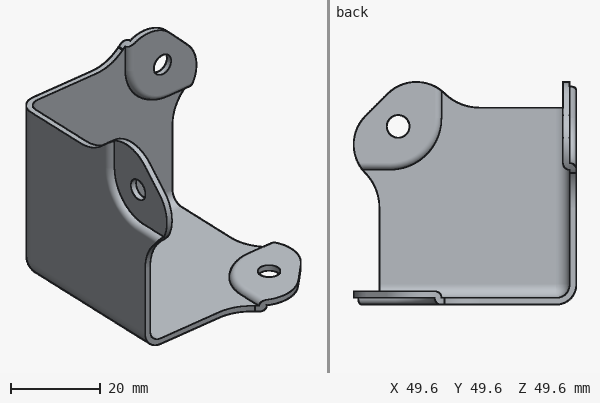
import cadquery as cq
import math


thickness = 1.5
wall_length = 43.85
bend_inner_radius = 3.0
bend_outer_radius = bend_inner_radius + thickness

overall_length = 49.57
tab_width = 25.0
tab_corner_radius = 9.0
tab_root_radius = 11.0

hole_diameter = 5.0
hole_position = 39.65

step_start = 30.0
step_end = step_start + thickness
step_corner_radius = 11.5
step_corner_center = step_start + step_corner_radius
tab_height = 2 * thickness

beyond = overall_length + 10.0
diagonal = math.sqrt(0.5)

corner_high = overall_length - tab_corner_radius
corner_low = corner_high - (tab_width / 2 - tab_corner_radius) / diagonal

root_high = wall_length + tab_root_radius
root_low = root_high - tab_width / 2 / diagonal - tab_root_radius / diagonal

wall_turns = (0, 120, 240)


def mirrored(point):
    """Mirror a point of the floor in the line x = y."""
    return (point[1], point[0])


def on_circle(center_x, center_y, radius, degrees):
    angle = math.radians(degrees)
    return (center_x + radius * math.cos(angle), center_y + radius * math.sin(angle))


def make_rounded_block(size, radius):
    """Cube from the origin with the three edges that meet at the origin rounded."""
    block = cq.Workplane("XY").box(size, size, size, centered=False)
    margin = size / 4
    near_edges = cq.selectors.BoxSelector((-margin,) * 3, (size - margin,) * 3)
    return block.edges(near_edges).fillet(radius)


def make_corner_shell():
    outer = make_rounded_block(wall_length, bend_outer_radius)
    inner = make_rounded_block(beyond, bend_inner_radius)
    return outer.cut(inner.translate((thickness, thickness, thickness)))


def make_tab_outline():
    """Prism over the floor's free corner, from the root fillets to the end of the tab."""
    root_start = (root_low, wall_length)
    root_middle = on_circle(root_low, root_high, tab_root_radius, -67.5)
    root_end = on_circle(root_low, root_high, tab_root_radius, -45)
    corner_start = on_circle(corner_low, corner_high, tab_corner_radius, 135)
    corner_middle = on_circle(corner_low, corner_high, tab_corner_radius, 90)
    corner_end = on_circle(corner_low, corner_high, tab_corner_radius, 45)
    return (
        cq.Workplane("XY")
        .moveTo(root_low, root_low)
        .lineTo(*root_start)
        .threePointArc(root_middle, root_end)
        .lineTo(*corner_start)
        .threePointArc(corner_middle, corner_end)
        .lineTo(*mirrored(corner_end))
        .threePointArc(mirrored(corner_middle), mirrored(corner_start))
        .lineTo(*mirrored(root_end))
        .threePointArc(mirrored(root_middle), mirrored(root_start))
        .close()
        .extrude(tab_height)
    )


def make_step_area(start, bottom, top):
    """Slab bounded by the step line at the given distance, open towards the free corner."""
    size = beyond - start
    slab = cq.Workplane("XY", origin=(start, start, bottom)).rect(size, size, centered=False)
    slab = slab.extrude(top - bottom)
    nearest_edge = cq.selectors.NearestToPointSelector((start, start, (bottom + top) / 2))
    return slab.edges("|Z").edges(nearest_edge).fillet(step_corner_center - start)


def make_step():
    """Quarter-round joggle swept along the step line."""
    arc_middle = step_corner_center - step_corner_radius * diagonal
    path = (
        cq.Workplane("XY")
        .moveTo(step_start, beyond)
        .lineTo(step_start, step_corner_center)
        .threePointArc((arc_middle, arc_middle), (step_corner_center, step_start))
        .lineTo(beyond, step_start)
    )
    reach = thickness * diagonal
    return (
        cq.Workplane("XZ", origin=(0, beyond, 0))
        .moveTo(step_start, 0)
        .threePointArc((step_start + reach, thickness - reach), (step_end, thickness))
        .lineTo(step_end, tab_height)
        .threePointArc((step_end - reach, thickness + reach), (step_start, thickness))
        .close()
        .sweep(path)
    )


def make_tab():
    outline = make_tab_outline()
    flat = cq.Workplane("XY").box(beyond, beyond, thickness, centered=False)
    flat = flat.cut(make_step_area(step_start, 0, thickness))
    raised = make_step_area(step_end, thickness, tab_height)
    tab = flat.union(make_step()).union(raised).intersect(outline)
    hole = cq.Workplane("XY").center(hole_position, hole_position).circle(hole_diameter / 2)
    return tab.cut(hole.extrude(tab_height))


def make_part():
    part = make_corner_shell()
    tab = make_tab()
    room = cq.Workplane("XY", origin=(root_low, root_low, 0))
    room = room.rect(beyond, beyond, centered=False).extrude(thickness)
    for turn in wall_turns:
        part = part.cut(room.rotate((0, 0, 0), (1, 1, 1), turn))
        part = part.union(tab.rotate((0, 0, 0), (1, 1, 1), turn))
    return part.clean()


result = make_part()